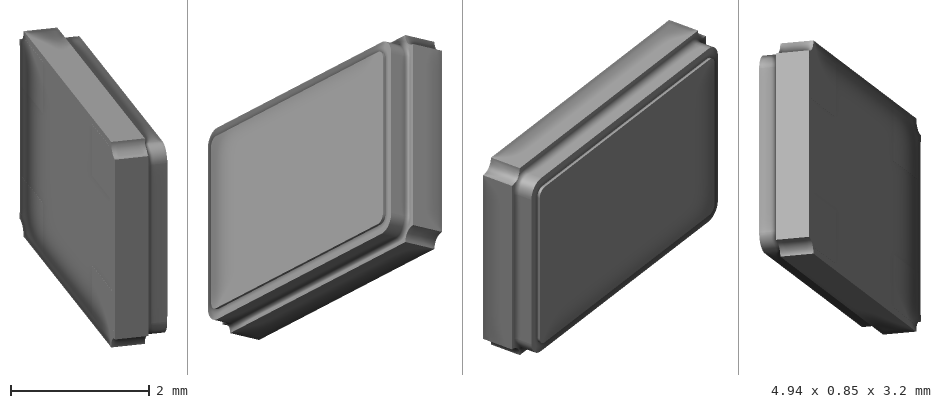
import cadquery as cq

base_length = 4.94
base_width = 3.2
base_thickness = 0.506
castellation_radius = 0.2

pad_thickness = 0.002
pad_length = 1.1
pad_width = 0.8
pad_edge_gap = 0.1
pad_corner_reach = 0.3

lid_length = 4.75
lid_width = 2.96
lid_thickness = 0.298
lid_corner_radius = 0.245
lid_offset_x = 0.03
solder_fillet_radius = 0.064
selection_margin = 0.01

panel_inset = 0.15
panel_thickness = 0.044
panel_corner_radius = 0.125

base_bottom_y = pad_thickness
base_top_y = base_bottom_y + base_thickness
lid_top_y = base_top_y + lid_thickness
corner_signs = [(sx, sz) for sx in (-1, 1) for sz in (-1, 1)]


def block(length, thickness, width, bottom_y, center_x=0, center_z=0):
    """Box centred in X and Z that rises in +Y from bottom_y."""
    box = cq.Workplane("XY").box(length, thickness, width, centered=(True, False, True))
    return box.translate((center_x, bottom_y, center_z))


def make_pad(sx, sz):
    """Rectangular pad, set in from the base edges, joined to a square reaching the base corner."""
    pad = block(
        pad_length,
        pad_thickness,
        pad_width,
        0,
        sx * (base_length / 2 - pad_edge_gap - pad_length / 2),
        sz * (base_width / 2 - pad_edge_gap - pad_width / 2),
    )
    corner = block(
        pad_corner_reach,
        pad_thickness,
        pad_corner_reach,
        0,
        sx * (base_length - pad_corner_reach) / 2,
        sz * (base_width - pad_corner_reach) / 2,
    )
    return pad.union(corner)


def make_base():
    base = block(base_length, base_thickness, base_width, base_bottom_y)
    for sx, sz in corner_signs:
        base = base.union(make_pad(sx, sz))
    return base


def add_lid(base):
    lid = block(lid_length, lid_thickness, lid_width, base_top_y, lid_offset_x)
    lid = lid.edges("|Y").fillet(lid_corner_radius)
    half_length = lid_length / 2 + selection_margin
    half_width = lid_width / 2 + selection_margin
    seam = cq.selectors.BoxSelector(
        (lid_offset_x - half_length, base_top_y - selection_margin, -half_width),
        (lid_offset_x + half_length, base_top_y + selection_margin, half_width),
        boundingbox=True,
    )
    return base.union(lid).edges(seam).fillet(solder_fillet_radius)


def cut_castellations(body):
    """Quarter-round notches at the base corners, also trimming the solder fillet."""
    notch_height = base_top_y + solder_fillet_radius
    for sx, sz in corner_signs:
        notch = cq.Workplane("XZ").circle(castellation_radius).extrude(-notch_height)
        body = body.cut(notch.translate((sx * base_length / 2, 0, sz * base_width / 2)))
    return body


def make_panel():
    panel = block(
        lid_length - 2 * panel_inset,
        panel_thickness,
        lid_width - 2 * panel_inset,
        lid_top_y,
        lid_offset_x,
    )
    return panel.edges("|Y").fillet(panel_corner_radius)


result = cut_castellations(add_lid(make_base())).union(make_panel())